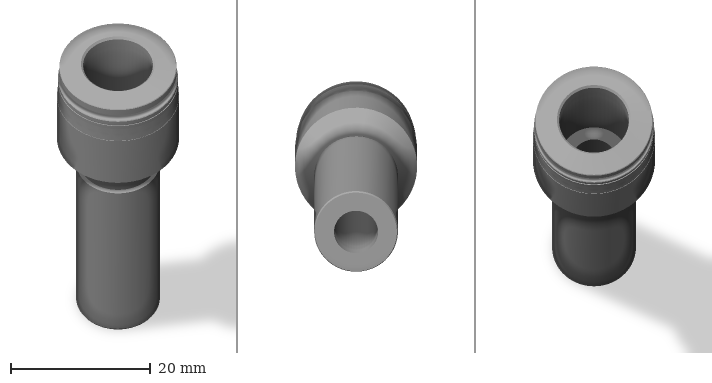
import cadquery as cq

total_height = 50.0
tube_top = 29.05
neck_bottom = 29.25
neck_top = 31.0
cone_top = 34.3
band_bottom = 43.15
band_top = 45.55
groove_bottom = 46.2
groove_top = 46.5
body_top = 47.2
sleeve_flare_bottom = 48.0
flange_bottom = 48.25
flange_rim_top = 49.45
socket_floor = cone_top

bore_radius = 6.3 / 2
socket_radius = 10.0 / 2
neck_radius = 11.0 / 2
tube_radius = 12.0 / 2
sleeve_radius = 12.5 / 2
flare_radius = 6.65
flange_radius = 16.8 / 2
collar_radius = 17.2 / 2
band_radius = 8.7
body_radius = 17.5 / 2

tube_end_break = 0.15
tube_end_break_height = 0.3
groove_depth = 0.1
collar_break = 0.1
flange_break = 0.1
socket_break = 0.3
groove_radius = collar_radius - groove_depth
mouth_radius = socket_radius + socket_break


def revolve_profile(points):
    """Revolve a closed (radius, height) outline about the Z axis."""
    return cq.Workplane("XZ").polyline(points).close().revolve(360, (0, 0, 0), (0, 1, 0))


outer = revolve_profile([
    (0, 0),
    (tube_radius - tube_end_break, 0),
    (tube_radius, tube_end_break_height),
    (tube_radius, tube_top),
    (neck_radius, neck_bottom),
    (neck_radius, neck_top),
    (body_radius, cone_top),
    (body_radius, band_bottom),
    (band_radius, band_bottom),
    (collar_radius, band_top),
    (collar_radius, groove_bottom),
    (groove_radius, groove_bottom),
    (groove_radius, groove_top),
    (collar_radius, groove_top),
    (collar_radius, body_top - collar_break),
    (collar_radius - collar_break, body_top),
    (sleeve_radius, body_top),
    (sleeve_radius, sleeve_flare_bottom),
    (flare_radius, flange_bottom),
    (flange_radius, flange_bottom),
    (flange_radius, flange_rim_top - flange_break),
    (flange_radius - flange_break, flange_rim_top),
    (mouth_radius, total_height),
    (0, total_height),
])

passage = revolve_profile([
    (0, 0),
    (bore_radius, 0),
    (bore_radius, socket_floor),
    (socket_radius, socket_floor),
    (socket_radius, total_height - socket_break),
    (mouth_radius, total_height),
    (0, total_height),
])

result = outer.cut(passage)